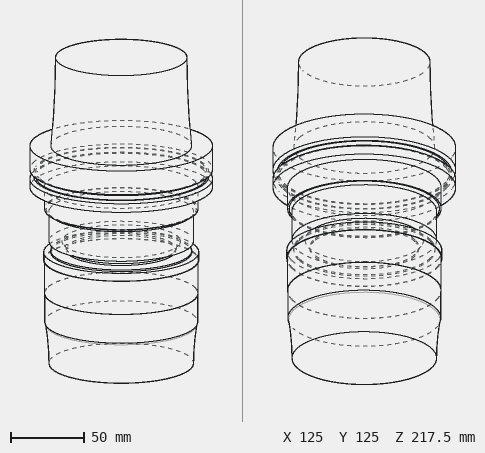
import cadquery as cq
import math

total_height = 217.5

nose_end_diameter = 99.0
nose_top_diameter = 103.5
lower_sleeve_diameter = 104.5
upper_sleeve_diameter = 105.0
collar_diameter = 106.0
collar_step_diameter = 96.5
neck_diameter = 74.4
neck_cone_diameter = 81.0
body_diameter = 99.0
shoulder_cone_diameter = 102.6
shoulder_diameter = 105.0
flange_diameter = 125.0
groove_diameter = 117.0
groove_ledge_diameter = 119.5
shank_base_diameter = 96.3
shank_top_diameter = 90.0

nose_top = 28.0
lower_sleeve_bottom = 29.3
lower_sleeve_top = 49.8
upper_sleeve_top = 73.5
collar_top = 79.1
collar_step_rise = 1.0
neck_cone_bottom = 81.5
body_bottom = 86.7
body_top = 107.8
shoulder_bottom = 109.8
flange_bottom = 125.2
groove_lower_edge = 131.3
groove_floor_bottom = 132.8
groove_floor_top = 136.3
groove_upper_edge = 137.8
flange_top = 154.5


def ring(diameter, height):
    """Profile point (radius, height) on a circle around the axis."""
    return (diameter / 2, height)


def arc_middle(tangent_point, end_point):
    """Middle of the arc that leaves tangent_point parallel to the axis and reaches end_point."""
    radial = end_point[0] - tangent_point[0]
    axial = end_point[1] - tangent_point[1]
    arc_radius = (radial**2 + axial**2) / (2 * radial)
    half_angle = math.asin(axial / arc_radius) / 2
    return (
        tangent_point[0] + arc_radius * (1 - math.cos(half_angle)),
        tangent_point[1] + arc_radius * math.sin(half_angle),
    )


nose_end = ring(nose_end_diameter, 0)
nose_edge = ring(nose_top_diameter, nose_top)
shank_base = ring(shank_base_diameter, flange_top)
shank_end = ring(shank_top_diameter, total_height)

profile = (
    cq.Workplane("XZ")
    .lineTo(*nose_end)
    .threePointArc(arc_middle(nose_end, nose_edge), nose_edge)
    .lineTo(*ring(lower_sleeve_diameter, lower_sleeve_bottom))
    .lineTo(*ring(lower_sleeve_diameter, lower_sleeve_top))
    .lineTo(*ring(upper_sleeve_diameter, lower_sleeve_top))
    .lineTo(*ring(upper_sleeve_diameter, upper_sleeve_top))
    .lineTo(*ring(collar_diameter, upper_sleeve_top))
    .lineTo(*ring(collar_diameter, collar_top))
    .lineTo(*ring(collar_step_diameter, collar_top))
    .lineTo(*ring(collar_step_diameter, collar_top + collar_step_rise))
    .lineTo(*ring(neck_diameter, collar_top + collar_step_rise))
    .lineTo(*ring(neck_diameter, neck_cone_bottom))
    .lineTo(*ring(neck_cone_diameter, body_bottom))
    .lineTo(*ring(body_diameter, body_bottom))
    .lineTo(*ring(body_diameter, body_top))
    .lineTo(*ring(shoulder_cone_diameter, shoulder_bottom))
    .lineTo(*ring(shoulder_diameter, shoulder_bottom))
    .lineTo(*ring(shoulder_diameter, flange_bottom))
    .lineTo(*ring(flange_diameter, flange_bottom))
    .lineTo(*ring(flange_diameter, groove_lower_edge))
    .lineTo(*ring(groove_ledge_diameter, groove_floor_bottom))
    .lineTo(*ring(groove_diameter, groove_floor_bottom))
    .lineTo(*ring(groove_diameter, groove_floor_top))
    .lineTo(*ring(groove_ledge_diameter, groove_floor_top))
    .lineTo(*ring(flange_diameter, groove_upper_edge))
    .lineTo(*ring(flange_diameter, flange_top))
    .lineTo(*shank_base)
    .threePointArc(arc_middle(shank_end, shank_base), shank_end)
    .lineTo(0, total_height)
    .close()
)

result = profile.revolve(360, (0, 0, 0), (0, 1, 0))